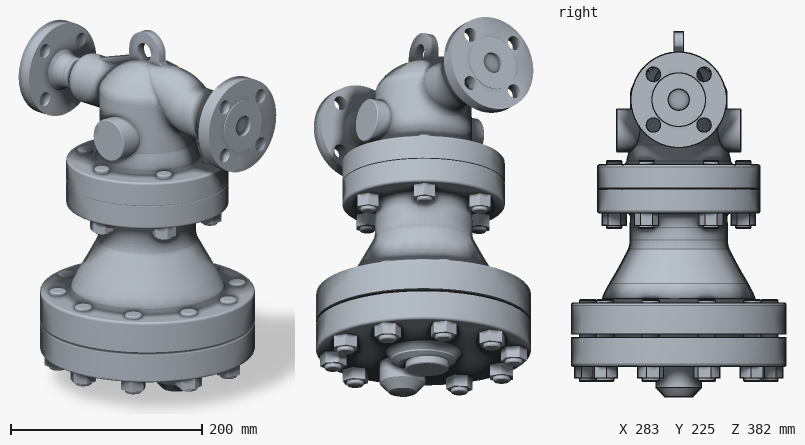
import cadquery as cq
import math


face_x = 141.5
raised_face_height = 1.0
raised_face_diameter = 56.0
line_flange_diameter = 100.0
line_flange_back_x = 125.3
line_hole_diameter = 15.0
line_hole_circle = 75.0
line_hole_count = 4
bore_diameter = 22.2
bore_depth = 5.0

pipe_radius = 26.5
hub_radius = 22.0
hub_neck_x = 122.0
hub_neck_radius = 19.2
hub_curve = 51.0
weld_outer_x = 108.5
weld_inner_x = 98.8
weld_radius = 16.5
weld_crown = 0.9
reducer_cone_x = 91.0
reducer_cone_radius = 24.2
reducer_curve = 12.0
reducer_x = 84.0

bend_outer_x = 77.2
bend_inner_x = 33.5
bend_rise = 13.5
bend_run = bend_outer_x - bend_inner_x
bend_turn = 2 * math.atan(bend_rise / bend_run)
bend_radius = bend_run / 2 / math.sin(bend_turn)

body_radius = 100.95 / 2
dome_top_z = 40.0
dome_spring_z = 5.8
knuckle_radius = 15.0
body_skirt_z = -47.3
body_skirt_radius = 54.3
flange_blend = 4.0
pipe_blend = 6.0
blend_wall_height = 150.0
margin = 1.0

port_diameter = 45.0
port_x = 7.3
port_z = -32.0
port_half_length = 65.2
port_chamfer = 0.8

lug_thickness = 10.0
lug_radius = 22.0
lug_hole_diameter = 20.0
lug_z = 49.2
lug_base_z = 20.0
lug_tip_x = -71.0
lug_tip_z = 25.5
lug_shoulder_z = 39.0
lug_foot = 4.0

small_flange_diameter = 170.0
small_flange_top_z = -67.9
small_flange_bottom_z = -118.6
small_gap_top_z = -92.6
small_gap = 1.0
small_gasket_diameter = 118.0
small_edge_fillet = 2.4

small_stud_diameter = 16.0
small_stud_circle = 135.0
small_stud_count = 6
small_stud_top = 4.4
small_nut_flats = 22.0
small_nut_height = 12.8
small_stud_bottom = 16.3

neck_radius = 51.0
neck_straight_z = -133.5
neck_end_z = -147.0
neck_curve = 28.0
cone_start_z = -156.3
cone_start_radius = 52.5
cone_end_z = -192.5
cone_end_radius = 72.5
cone_base_radius = 80.0
cone_base_curve = 65.0
cone_blend = 4.5

large_flange_diameter = 225.0
large_flange_top_z = -212.6
large_flange_bottom_z = -279.0
large_gap_top_z = -245.3
large_gap = 3.5
large_gasket_diameter = 162.5
large_edge_fillet = 2.6

large_stud_diameter = 18.0
large_stud_circle = 190.0
large_stud_count = 10
large_stud_top = 3.4
large_nut_flats = 24.0
large_nut_height = 12.0
large_stud_bottom = 16.0
stud_end_chamfer = 1.0

boss_top_radius = 40.0
boss_bottom_radius = 27.0
boss_step_radius = 34.0
boss_step_top_z = -286.4
boss_step_bottom_z = -288.0
boss_bottom_z = -292.3
plug_x = -7.3
plug_bottom_z = -300.0
plug_chamfer = 1.0
spigot_diameter = 48.0
spigot_x = 42.7
spigot_shoulder_z = -301.0
spigot_end_radius = 14.8
bottom_z = -310.8


def rod(diameter, top_z, bottom_z, x=0.0):
    """Vertical cylinder between two heights."""
    height = top_z - bottom_z
    return cq.Workplane("XY", origin=(x, 0, bottom_z)).circle(diameter / 2).extrude(height)


def pipe_end():
    """Line flange, welding hub and reducer on the +X side, revolved about X."""
    flange_radius = line_flange_diameter / 2
    flange_face_x = face_x - raised_face_height
    weld_mid_x = (weld_outer_x + weld_inner_x) / 2
    end = (
        cq.Workplane("XY")
        .moveTo(face_x, 0)
        .lineTo(face_x, raised_face_diameter / 2)
        .lineTo(flange_face_x, raised_face_diameter / 2)
        .lineTo(flange_face_x, flange_radius)
        .lineTo(line_flange_back_x, flange_radius)
        .lineTo(line_flange_back_x, hub_radius)
        .lineTo(hub_neck_x, hub_neck_radius)
        .radiusArc((weld_outer_x, weld_radius), hub_curve)
        .threePointArc((weld_mid_x, weld_radius + weld_crown), (weld_inner_x, weld_radius))
        .lineTo(reducer_cone_x, reducer_cone_radius)
        .radiusArc((reducer_x, pipe_radius), -reducer_curve)
        .lineTo(reducer_x, 0)
        .close()
        .revolve(360, (0, 0, 0), (1, 0, 0))
    )
    face = cq.Workplane("YZ", origin=(face_x, 0, 0))
    holes = (
        face.polarArray(line_hole_circle / 2, 45, 360, line_hole_count)
        .circle(line_hole_diameter / 2)
        .extrude(line_flange_back_x - face_x)
    )
    bore = face.circle(bore_diameter / 2).extrude(-bore_depth)
    return end.cut(holes).cut(bore)


def inlet_pipe():
    """Straight pipe from the inlet reducer to the body axis."""
    return cq.Workplane("YZ", origin=(-reducer_x, 0, 0)).circle(pipe_radius).extrude(reducer_x)


def pipe_along(plane, length):
    """Round pipe of the given length along the normal of a plane."""
    return cq.Workplane(plane).circle(pipe_radius).extrude(length)


def outer_bend():
    """Short straight after the outlet reducer and the arc that turns the pipe upwards."""
    straight = pipe_along(cq.Plane.YZ(origin=(reducer_x, 0, 0)), bend_outer_x - reducer_x)
    arc = (
        cq.Workplane("YZ", origin=(bend_outer_x, 0, 0))
        .circle(pipe_radius)
        .revolve(math.degrees(bend_turn), (0, bend_radius, 0), (1, bend_radius, 0))
    )
    return straight.union(arc)


def inner_bend():
    """Arc that turns the pipe level again and the straight on to the body axis."""
    arc = (
        cq.Workplane("YZ", origin=(bend_inner_x, 0, bend_rise))
        .circle(pipe_radius)
        .revolve(math.degrees(bend_turn), (0, -bend_radius, 0), (1, -bend_radius, 0))
    )
    return arc.union(pipe_along(cq.Plane.YZ(origin=(0, 0, bend_rise)), bend_inner_x))


def outlet_blend():
    """Body wall and outer bend with a fillet between them, kept below the dome spring."""
    bend_mid_x = bend_outer_x - bend_run / 2
    slope = cq.Plane(
        origin=(bend_mid_x, 0, bend_rise / 2),
        xDir=(0, 1, 0),
        normal=(-math.cos(bend_turn), 0, math.sin(bend_turn)),
    )
    pipe = outer_bend().union(pipe_along(slope, bend_mid_x))
    wall = (
        cq.Workplane("XY", origin=(0, 0, body_skirt_z))
        .circle(body_radius)
        .extrude(blend_wall_height)
        .rotate((0, 0, 0), (0, 0, 1), 180)
    )
    seam = cq.selectors.BoxSelector(
        (0, -pipe_radius - margin, body_skirt_z + margin),
        (bend_mid_x, pipe_radius + margin, body_skirt_z + blend_wall_height - margin),
        boundingbox=True,
    )
    blended = wall.union(pipe).edges(seam).fillet(pipe_blend)
    corner = cq.Workplane("XY", origin=(0, 0, body_skirt_z)).box(
        bend_outer_x, line_flange_diameter, dome_spring_z - body_skirt_z, centered=(False, True, False)
    )
    return blended.intersect(corner)


def upper_body():
    """Domed body: spherical crown, tangent knuckle, straight wall and flared skirt."""
    knuckle_x = body_radius - knuckle_radius
    rise = dome_top_z - dome_spring_z
    crown_radius = (knuckle_x**2 + rise**2 - knuckle_radius**2) / (2 * (rise - knuckle_radius))
    crown_z = dome_top_z - crown_radius
    tangent_angle = math.atan2(dome_spring_z - crown_z, knuckle_x)

    def on_crown(angle):
        return (crown_radius * math.cos(angle), crown_z + crown_radius * math.sin(angle))

    knuckle_mid = (
        knuckle_x + knuckle_radius * math.cos(tangent_angle / 2),
        dome_spring_z + knuckle_radius * math.sin(tangent_angle / 2),
    )
    return (
        cq.Workplane("XZ")
        .moveTo(0, dome_top_z)
        .threePointArc(on_crown((tangent_angle + math.pi / 2) / 2), on_crown(tangent_angle))
        .threePointArc(knuckle_mid, (body_radius, dome_spring_z))
        .lineTo(body_radius, body_skirt_z)
        .lineTo(body_skirt_radius, small_flange_top_z + flange_blend)
        .radiusArc((body_skirt_radius + flange_blend, small_flange_top_z), -flange_blend)
        .lineTo(0, small_flange_top_z)
        .close()
        .revolve(360, (0, 0, 0), (0, 1, 0))
    )


def pipework():
    """Body with both pipes blended into it and the pipe ends added."""
    end = pipe_end()
    inlet_seam = cq.selectors.BoxSelector(
        (-body_radius - margin, -pipe_radius - margin, -pipe_radius - margin),
        (pipe_radius - body_radius, pipe_radius + margin, pipe_radius + margin),
    )
    body = upper_body().union(inlet_pipe()).edges(inlet_seam).fillet(pipe_blend)
    body = body.union(outer_bend()).union(inner_bend()).union(outlet_blend())
    return body.union(end).union(end.mirror("YZ"))


def ports():
    """Round side ports running through the body along Y."""
    return (
        cq.Workplane("XZ", origin=(port_x, 0, port_z))
        .circle(port_diameter / 2)
        .extrude(port_half_length, both=True)
        .faces("<Y or >Y")
        .chamfer(port_chamfer)
    )


def lifting_lug():
    """Plate with an eye above the dome and a sloping rib over the inlet pipe."""
    return (
        cq.Workplane("XZ", origin=(0, lug_thickness / 2, 0))
        .moveTo(lug_tip_x, lug_base_z)
        .lineTo(lug_tip_x, lug_tip_z)
        .lineTo(-lug_radius - lug_foot, lug_shoulder_z)
        .radiusArc((-lug_radius, lug_shoulder_z + lug_foot), -lug_foot)
        .lineTo(-lug_radius, lug_z)
        .threePointArc((0, lug_z + lug_radius), (lug_radius, lug_z))
        .lineTo(lug_radius, dome_top_z + lug_foot)
        .radiusArc((lug_radius + lug_foot, dome_top_z), -lug_foot)
        .lineTo(lug_radius + lug_foot, lug_base_z)
        .close()
        .moveTo(0, lug_z)
        .circle(lug_hole_diameter / 2)
        .extrude(lug_thickness)
    )


def flange_pair(diameter, top_z, bottom_z, gap_top_z, gap, gasket_diameter, edge_fillet):
    """Two flanges with a smaller gasket in the gap between them."""
    upper = rod(diameter, top_z, gap_top_z).faces(">Z").edges().fillet(edge_fillet)
    lower = rod(diameter, gap_top_z - gap, bottom_z).faces("<Z").edges().fillet(edge_fillet)
    gasket = rod(gasket_diameter, gap_top_z, gap_top_z - gap)
    return upper.union(gasket).union(lower)


def studs_and_nuts(count, circle, diameter, flats, top_z, bottom_z, top_end, bottom_end, nut_height):
    """Ring of studs through a flange pair, each with a hexagon nut underneath."""
    corners = flats / math.cos(math.radians(30))
    stud = rod(diameter, top_z + top_end, bottom_z - bottom_end, x=circle / 2)
    stud = stud.faces("<Z or >Z").chamfer(stud_end_chamfer)
    nut = (
        cq.Workplane("XY", origin=(circle / 2, 0, bottom_z - nut_height))
        .polygon(6, corners)
        .extrude(nut_height)
    )
    assembly = stud.union(nut)
    ring = cq.Workplane("XY")
    for index in range(count):
        ring = ring.union(assembly.rotate((0, 0, 0), (0, 0, 1), 90 + index * 360 / count))
    return ring


def lower_body():
    """Neck and cone joining the small flange pair to the large one."""
    return (
        cq.Workplane("XZ")
        .moveTo(0, small_flange_bottom_z)
        .lineTo(body_radius + flange_blend, small_flange_bottom_z)
        .radiusArc((body_radius, small_flange_bottom_z - flange_blend), -flange_blend)
        .lineTo(neck_radius, neck_straight_z)
        .lineTo(neck_radius, neck_end_z)
        .radiusArc((cone_start_radius, cone_start_z), -neck_curve)
        .lineTo(cone_end_radius, cone_end_z)
        .radiusArc((cone_base_radius, large_flange_top_z + cone_blend), cone_base_curve)
        .radiusArc((cone_base_radius + cone_blend, large_flange_top_z), -cone_blend)
        .lineTo(0, large_flange_top_z)
        .close()
        .revolve(360, (0, 0, 0), (0, 1, 0))
    )


def bottom_boss():
    """Tapered boss under the large flange with a flat bottom."""
    return (
        cq.Workplane("XZ")
        .moveTo(0, large_flange_bottom_z)
        .lineTo(boss_top_radius, large_flange_bottom_z)
        .lineTo(boss_step_radius, boss_step_top_z)
        .lineTo(boss_step_radius, boss_step_bottom_z)
        .lineTo(boss_bottom_radius, boss_bottom_z)
        .lineTo(0, boss_bottom_z)
        .close()
        .revolve(360, (0, 0, 0), (0, 1, 0))
    )


def plug():
    """Round plug under the boss."""
    body = rod(port_diameter, boss_bottom_z, plug_bottom_z, x=plug_x)
    return body.faces("<Z").chamfer(plug_chamfer)


def drain_spigot():
    """Offset drain connection with a tapered end."""
    radius = spigot_diameter / 2
    return (
        cq.Workplane("XZ", origin=(spigot_x, 0, 0))
        .moveTo(0, large_flange_bottom_z)
        .lineTo(radius, large_flange_bottom_z)
        .lineTo(radius, spigot_shoulder_z)
        .lineTo(spigot_end_radius, bottom_z)
        .lineTo(0, bottom_z)
        .close()
        .revolve(360, (0, 0, 0), (0, 1, 0))
    )


small_flanges = flange_pair(
    small_flange_diameter,
    small_flange_top_z,
    small_flange_bottom_z,
    small_gap_top_z,
    small_gap,
    small_gasket_diameter,
    small_edge_fillet,
)
large_flanges = flange_pair(
    large_flange_diameter,
    large_flange_top_z,
    large_flange_bottom_z,
    large_gap_top_z,
    large_gap,
    large_gasket_diameter,
    large_edge_fillet,
)
small_bolting = studs_and_nuts(
    small_stud_count,
    small_stud_circle,
    small_stud_diameter,
    small_nut_flats,
    small_flange_top_z,
    small_flange_bottom_z,
    small_stud_top,
    small_stud_bottom,
    small_nut_height,
)
large_bolting = studs_and_nuts(
    large_stud_count,
    large_stud_circle,
    large_stud_diameter,
    large_nut_flats,
    large_flange_top_z,
    large_flange_bottom_z,
    large_stud_top,
    large_stud_bottom,
    large_nut_height,
)

result = (
    pipework()
    .union(ports())
    .union(lifting_lug())
    .union(small_flanges)
    .union(lower_body())
    .union(large_flanges)
    .union(bottom_boss())
    .union(plug())
    .union(drain_spigot())
    .union(small_bolting)
    .union(large_bolting)
)